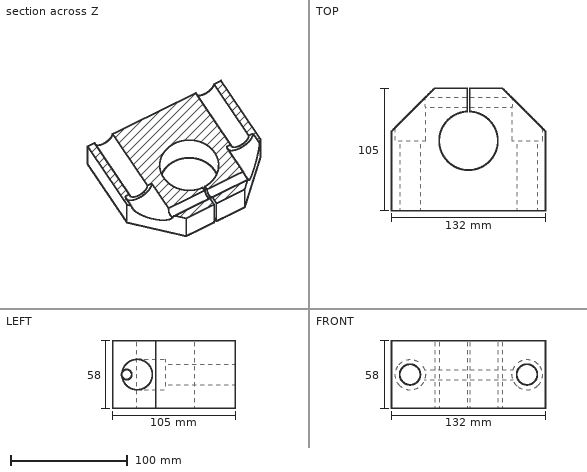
import cadquery as cq

width = 132.0
depth = 105.0
height = 58.0
corner_chamfer = 37.0

bore_diameter = 50.0
bore_to_back = 45.0
slit_width = 2.0

mount_spacing = 100.0
mount_diameter = 17.5
counterbore_diameter = 26.0

screw_diameter = 8.5
screw_to_back = 12.0

back_y = bore_to_back
front_y = back_y - depth
mid_z = height / 2
counterbore_floor_y = 0.0


def make_block():
    """Rectangular block with its two +Y corners chamfered at 45 degrees."""
    block = cq.Workplane("XY").box(width, depth, height, centered=(True, True, False))
    block = block.translate((0, (front_y + back_y) / 2, 0))
    return block.edges("|Z and >Y").chamfer(corner_chamfer)


def make_bore():
    """Vertical through bore for the clamped shaft."""
    return cq.Workplane("XY").circle(bore_diameter / 2).extrude(height)


def make_slit():
    """Thin slot from the bore axis out through the +Y face."""
    return cq.Workplane("XY").box(slit_width, back_y, height, centered=(True, False, False))


def cylinder_along_y(diameter, x, start_y, end_y):
    """Cylinder at mid height, running from start_y to end_y."""
    plane = cq.Plane(origin=(x, start_y, mid_z), xDir=(1, 0, 0), normal=(0, 1, 0))
    return cq.Workplane(plane).circle(diameter / 2).extrude(end_y - start_y)


def make_mount_hole(x):
    """Through hole with a counterbore that opens onto the chamfer."""
    hole = cylinder_along_y(mount_diameter, x, front_y, back_y)
    counterbore = cylinder_along_y(counterbore_diameter, x, counterbore_floor_y, back_y)
    return hole.union(counterbore)


def make_screw_hole():
    """Through hole along X at mid height, crossing both sides of the slit."""
    start = (-width / 2, back_y - screw_to_back, mid_z)
    plane = cq.Plane(origin=start, xDir=(0, 1, 0), normal=(1, 0, 0))
    return cq.Workplane(plane).circle(screw_diameter / 2).extrude(width)


result = make_block().cut(make_bore()).cut(make_slit())
for side in (-1, 1):
    result = result.cut(make_mount_hole(side * mount_spacing / 2))
result = result.cut(make_screw_hole())